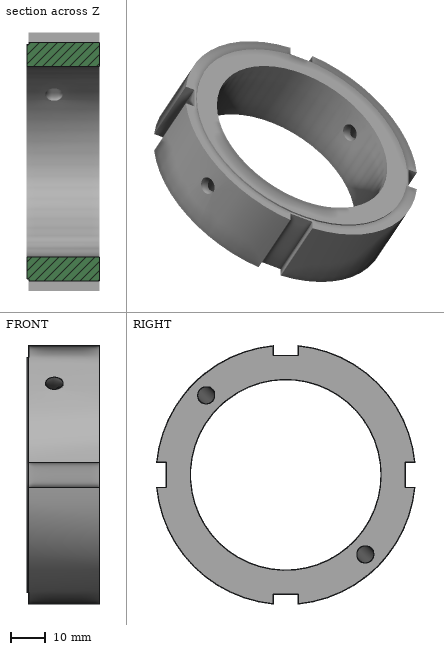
import cadquery as cq
import math

span = 74.7
slot_width = 7.2
slot_floor_radius = 34.6
bore_diameter = 55.0
collar_diameter = 68.0
collar_height = 0.45
total_length = 21.0
pin_hole_diameter = 5.0
pin_hole_x = 7.9
pin_hole_angle = 45.0
slot_count = 4
screw_hole_diameter = 4.9

outer_radius = math.hypot(span / 2, slot_width / 2)

screw_hole_radius = (outer_radius + bore_diameter / 2) / 2


def make_ring():
    """Body and raised collar with a common bore."""
    body = (
        cq.Workplane("YZ", origin=(collar_height, 0, 0))
        .circle(outer_radius)
        .extrude(total_length - collar_height)
    )
    collar = cq.Workplane("YZ").circle(collar_diameter / 2).extrude(total_length)
    bore = cq.Workplane("YZ").circle(bore_diameter / 2).extrude(total_length)
    return body.union(collar).cut(bore)


def make_spanner_slots():
    """Flat-floored slots along the full length of the rim."""
    return (
        cq.Workplane("YZ")
        .polarArray(slot_floor_radius + outer_radius / 2, 0, 360, slot_count)
        .rect(outer_radius, slot_width)
        .extrude(total_length)
    )


def make_pin_hole():
    """Radial hole through both walls, from the -Y +Z side to the +Y -Z side."""
    return (
        cq.Workplane("XY", origin=(pin_hole_x, 0, -outer_radius))
        .circle(pin_hole_diameter / 2)
        .extrude(2 * outer_radius)
        .rotate((0, 0, 0), (1, 0, 0), pin_hole_angle)
    )


def make_screw_holes():
    """Axial holes from the +X face, ending on the axis of the pin hole."""
    holes = (
        cq.Workplane("YZ", origin=(pin_hole_x, 0, 0))
        .pushPoints([(0, screw_hole_radius), (0, -screw_hole_radius)])
        .circle(screw_hole_diameter / 2)
        .extrude(total_length - pin_hole_x)
    )
    return holes.rotate((0, 0, 0), (1, 0, 0), pin_hole_angle)


result = (
    make_ring()
    .cut(make_spanner_slots())
    .cut(make_pin_hole())
    .cut(make_screw_holes())
)